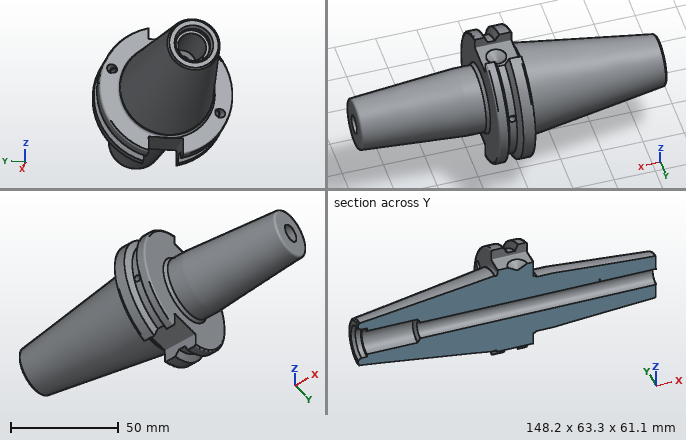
import cadquery as cq
import math

total_length = 148.2
taper_end = 67.9
neck_start = 68.0
flange_start = 69.4
groove_open_start = 75.5
groove_floor_start = 77.5
groove_floor_end = 81.1
groove_open_end = 82.6
flange_end = 87.2
nose_cone_start = 97.4

taper_gauge_radius = 22.2
taper_slope = 7 / 48
neck_radius = 43.7 / 2
flange_radius = 63.3 / 2
groove_radius = 28.3
nose_radius = 32.0 / 2
nose_end_radius = 12.3

taper_tip_chamfer = 0.7
flange_fillet = 0.9
neck_fillet = flange_start - neck_start
nose_relief_length = 1.8
nose_relief_height = 1.0
nose_tip_fillet = 1.2

mouth_radius = 9.2
mouth_depth = 1.8
thread_radius = 16.3 / 2
thread_depth = 4.5
pilot_radius = 13.3 / 2
pilot_depth = 29.6
through_radius = 8.9 / 2
drill_half_angle = math.radians(59)
cone_depth = (pilot_radius - through_radius) / math.tan(drill_half_angle)

slot_width = 16.5
top_slot_floor = 25.0
bottom_slot_floor = 22.8
slot_corner_fillet = 0.5

dimple_x = (groove_floor_start + groove_floor_end) / 2
dimple_radius = 9.5 / 2
dimple_half_angle = math.radians(60)

coolant_angle = 20.0
coolant_face_radius = 27.3
coolant_socket_diameter = 4.2
coolant_socket_depth = 3.0
coolant_diameter = 3.3
coolant_tilt = math.radians(30)
cross_hole_diameter = 3.3
coolant_run = dimple_x - flange_start
cross_hole_bottom_radius = coolant_face_radius - coolant_run * math.tan(coolant_tilt)


def revolve_about_x(profile):
    return profile.close().revolve(360, (0, 0, 0), (1, 0, 0))


def make_body():
    tip_radius = taper_gauge_radius - taper_slope * taper_end
    profile = (
        cq.Workplane("XY")
        .lineTo(0, tip_radius - taper_tip_chamfer)
        .lineTo(taper_tip_chamfer, tip_radius + taper_slope * taper_tip_chamfer)
        .lineTo(taper_end, taper_gauge_radius)
        .lineTo(neck_start, neck_radius)
        .radiusArc((flange_start, neck_radius + neck_fillet), -neck_fillet)
        .lineTo(flange_start, flange_radius - flange_fillet)
        .radiusArc((flange_start + flange_fillet, flange_radius), flange_fillet)
        .lineTo(groove_open_start, flange_radius)
        .lineTo(groove_floor_start, groove_radius)
        .lineTo(groove_floor_end, groove_radius)
        .lineTo(groove_open_end, flange_radius)
        .lineTo(flange_end - flange_fillet, flange_radius)
        .radiusArc((flange_end, flange_radius - flange_fillet), flange_fillet)
        .lineTo(flange_end, nose_radius + nose_relief_height)
        .lineTo(flange_end + nose_relief_length, nose_radius)
        .lineTo(nose_cone_start, nose_radius)
        .lineTo(total_length, nose_end_radius)
        .lineTo(total_length, 0)
    )
    return revolve_about_x(profile).faces(">X").edges().fillet(nose_tip_fillet)


def make_bore():
    return revolve_about_x(
        cq.Workplane("XY")
        .lineTo(0, mouth_radius)
        .lineTo(mouth_depth, thread_radius)
        .lineTo(thread_depth, thread_radius)
        .lineTo(thread_depth, pilot_radius)
        .lineTo(pilot_depth, pilot_radius)
        .lineTo(pilot_depth + cone_depth, through_radius)
        .lineTo(total_length, through_radius)
        .lineTo(total_length, 0)
    )


def make_slot(floor_height):
    return (
        cq.Workplane("XY")
        .box(flange_end - flange_start, slot_width, flange_radius, centered=(False, True, False))
        .edges("|X and <Z")
        .fillet(slot_corner_fillet)
        .translate((flange_start, 0, floor_height))
    )


def make_dimple():
    depth = dimple_radius / math.tan(dimple_half_angle)
    cone = cq.Solid.makeCone(
        dimple_radius, 0, depth, cq.Vector(dimple_x, 0, top_slot_floor), cq.Vector(0, 0, -1)
    )
    return cq.Workplane(cone)


def make_coolant_passage():
    """Stepped oblique hole from the flange face meeting a radial hole from the groove, on the +Y side."""
    oblique_direction = cq.Vector(math.cos(coolant_tilt), -math.sin(coolant_tilt), 0)
    face_point = cq.Vector(flange_start, coolant_face_radius, 0)
    oblique_length = coolant_run / math.cos(coolant_tilt)
    lead_in = coolant_socket_diameter
    socket = cq.Solid.makeCylinder(
        coolant_socket_diameter / 2,
        lead_in + coolant_socket_depth,
        face_point - oblique_direction * lead_in,
        oblique_direction,
    )
    oblique = cq.Solid.makeCylinder(
        coolant_diameter / 2, oblique_length, face_point, oblique_direction
    )
    radial = cq.Solid.makeCylinder(
        cross_hole_diameter / 2,
        flange_radius - cross_hole_bottom_radius,
        cq.Vector(dimple_x, cross_hole_bottom_radius, 0),
        cq.Vector(0, 1, 0),
    )
    return cq.Workplane(socket.fuse(oblique, radial))


result = make_body().cut(make_bore())
result = result.cut(make_slot(top_slot_floor))
result = result.cut(make_slot(bottom_slot_floor).rotate((0, 0, 0), (1, 0, 0), 180))
result = result.cut(make_dimple())
for angle in (coolant_angle, coolant_angle + 180):
    result = result.cut(make_coolant_passage().rotate((0, 0, 0), (1, 0, 0), angle))